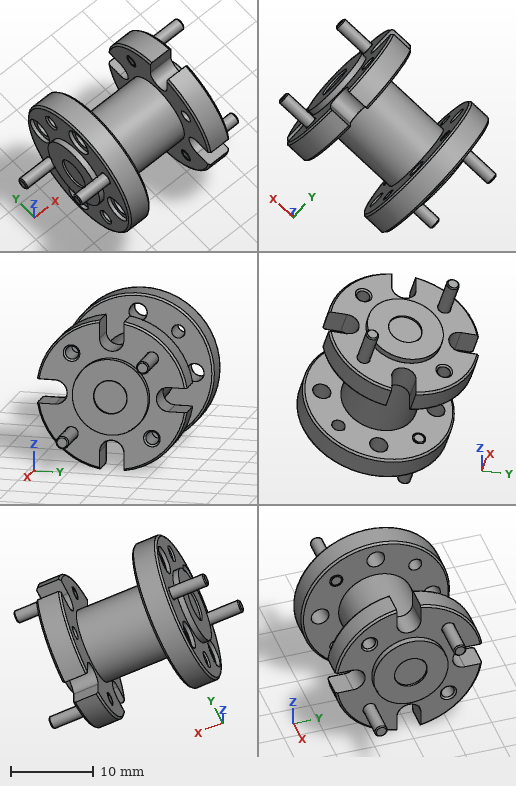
import cadquery as cq
import math

BARREL_LENGTH = 17.78
BARREL_DIAMETER = 9.525
RECESS_DIAMETER = 4.19
RECESS_DEPTH = 0.254

FLANGE_FACE_STEP = 0.762
FLANGE_THICKNESS = 3.302
FLANGE_DIAMETER = 19.05
FLANGE_CHAMFER = 0.254

BOLT_CIRCLE_DIAMETER = 14.2875
STATION_COUNT = 4
SCREW_HOLE_DIAMETER = 2.26
COUNTERBORE_DIAMETER = 3.556
COUNTERBORE_DEPTH = 0.5
SLOT_WIDTH = 3.048

PIN_DIAMETER = 1.575
PIN_LENGTH = 7.9375
PIN_CHAMFER = 0.15
PIN_HOLE_DIAMETER = 1.65
COUNTERSINK_DIAMETER = 2.08

flange_outer_x = BARREL_LENGTH / 2 - FLANGE_FACE_STEP
flange_inner_x = flange_outer_x - FLANGE_THICKNESS
bolt_radius = BOLT_CIRCLE_DIAMETER / 2
station_step = 360 / STATION_COUNT
screw_angles = [i * station_step for i in range(STATION_COUNT)]
diagonal_angles = [angle + station_step / 2 for angle in screw_angles]

SLOTTED_END = 1
ROUND_END = -1
pin_angles = {
    SLOTTED_END: diagonal_angles[0::2],
    ROUND_END: diagonal_angles[1::2],
}


def cylinder(diameter, x_start, x_end, y=0.0, z=0.0):
    """Solid cylinder parallel to X between two X positions."""
    start = cq.Plane(origin=(x_start, y, z), xDir=(0, 1, 0), normal=(1, 0, 0))
    return cq.Workplane(start).circle(diameter / 2).extrude(x_end - x_start)


def on_bolt_circle(angle):
    """Y and Z of a bolt circle station, measured from +Y towards +Z."""
    turn = math.radians(angle)
    return bolt_radius * math.cos(turn), bolt_radius * math.sin(turn)


def flange(end):
    """Disc with both rims chamfered."""
    disc = cylinder(FLANGE_DIAMETER, end * flange_inner_x, end * flange_outer_x)
    return disc.edges().chamfer(FLANGE_CHAMFER)


def end_recess(end):
    """Shallow round recess in the middle of a barrel end."""
    face_x = end * BARREL_LENGTH / 2
    return cylinder(RECESS_DIAMETER, face_x - end * RECESS_DEPTH, face_x)


def screw_hole(angle):
    """Counterbored screw hole through the round flange."""
    y, z = on_bolt_circle(angle)
    outer_x = ROUND_END * flange_outer_x
    seat_x = outer_x - ROUND_END * COUNTERBORE_DEPTH
    hole = cylinder(SCREW_HOLE_DIAMETER, outer_x, ROUND_END * flange_inner_x, y, z)
    return hole.union(cylinder(COUNTERBORE_DIAMETER, seat_x, outer_x, y, z))


def screw_slot(angle):
    """Round-bottomed slot running out through the rim of the slotted flange."""
    opening_length = FLANGE_DIAMETER / 2
    round_end = cylinder(SLOT_WIDTH, flange_inner_x, flange_outer_x, bolt_radius)
    opening = cq.Workplane("XY").box(
        FLANGE_THICKNESS, opening_length, SLOT_WIDTH, centered=(False, False, True)
    ).translate((flange_inner_x, bolt_radius, 0))
    return round_end.union(opening).rotate((0, 0, 0), (1, 0, 0), angle)


def pin_hole(end, angle):
    """Plain hole through a flange, parallel to X."""
    y, z = on_bolt_circle(angle)
    return cylinder(PIN_HOLE_DIAMETER, end * flange_inner_x, end * flange_outer_x, y, z)


def countersink(end, angle):
    """45 degree lead-in on the outer face, for a mating pin."""
    y, z = on_bolt_circle(angle)
    depth = (COUNTERSINK_DIAMETER - PIN_HOLE_DIAMETER) / 2
    cone = cq.Solid.makeCone(
        COUNTERSINK_DIAMETER / 2,
        PIN_HOLE_DIAMETER / 2,
        depth,
        cq.Vector(end * flange_outer_x, y, z),
        cq.Vector(-end, 0, 0),
    )
    return cq.Workplane(cone)


def make_housing():
    """Barrel and both flanges, in one piece."""
    body = cylinder(BARREL_DIAMETER, -BARREL_LENGTH / 2, BARREL_LENGTH / 2)
    body = body.union(flange(ROUND_END)).union(flange(SLOTTED_END))
    for angle in screw_angles:
        body = body.cut(screw_hole(angle)).cut(screw_slot(angle))
    for end in (ROUND_END, SLOTTED_END):
        body = body.cut(end_recess(end))
        for angle in diagonal_angles:
            body = body.cut(pin_hole(end, angle))
            if angle not in pin_angles[end]:
                body = body.cut(countersink(end, angle))
    return body


def make_pin(end, angle):
    """Alignment pin, flush with the inner flange face and chamfered at both tips."""
    y, z = on_bolt_circle(angle)
    tip_x = end * (flange_inner_x + PIN_LENGTH)
    pin = cylinder(PIN_DIAMETER, end * flange_inner_x, tip_x, y, z)
    return pin.edges().chamfer(PIN_CHAMFER)


housing = make_housing()
pins = [make_pin(end, angle) for end in (ROUND_END, SLOTTED_END) for angle in pin_angles[end]]

result = cq.Compound.makeCompound([housing.val(), *[pin.val() for pin in pins]])